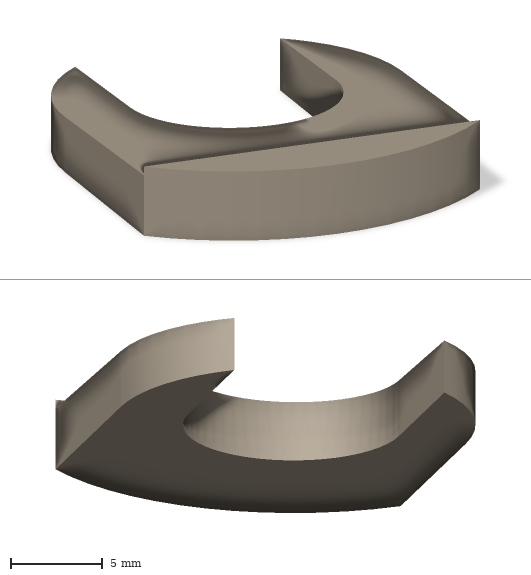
import cadquery as cq
import math

length = 22.83
width = 19.8
slot_radius = 6.03
total_height = 4.0
tip_height = 3.0
ramp_angle = 1.5

half_width = width / 2
tip_x = -math.sqrt(half_width**2 - slot_radius**2)
back_radius = length + tip_x
step_x = math.sqrt(back_radius**2 - half_width**2)
step_height = tip_height + (step_x - tip_x) * math.tan(math.radians(ramp_angle))


def arc_point(radius, angle):
    """Point at an angle in radians on a circle about the slot centre."""
    return (radius * math.cos(angle), radius * math.sin(angle))


def make_plate():
    """Open-ended horseshoe plate at full height."""
    tip_angle = math.atan2(slot_radius, tip_x)
    prong_mid_angle = (tip_angle + math.pi / 2) / 2
    return (
        cq.Workplane("XY")
        .moveTo(tip_x, slot_radius)
        .threePointArc(arc_point(half_width, prong_mid_angle), (0, half_width))
        .lineTo(step_x, half_width)
        .threePointArc((back_radius, 0), (step_x, -half_width))
        .lineTo(0, -half_width)
        .threePointArc(arc_point(half_width, -prong_mid_angle), (tip_x, -slot_radius))
        .lineTo(0, -slot_radius)
        .threePointArc((slot_radius, 0), (0, slot_radius))
        .close()
        .extrude(total_height)
    )


def make_ramp_cutter():
    """Wedge above the sloping top face, ending at the step."""
    return (
        cq.Workplane("XZ")
        .polyline([
            (tip_x, tip_height),
            (step_x, step_height),
            (step_x, total_height),
            (tip_x, total_height),
        ])
        .close()
        .extrude(half_width, both=True)
    )


result = make_plate().cut(make_ramp_cutter())